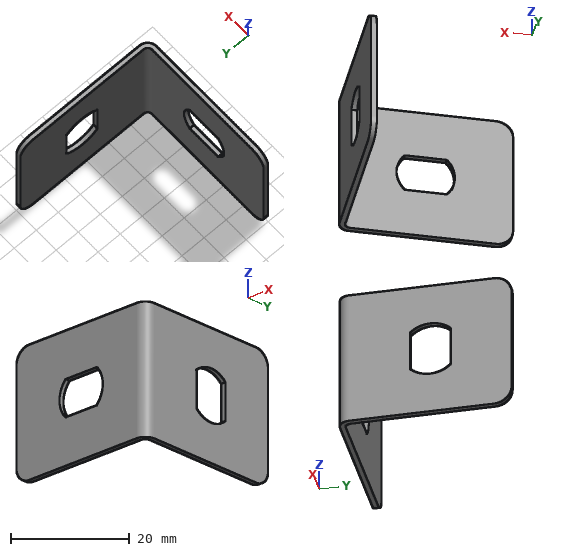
import cadquery as cq

leg_x = 30.0
leg_y = 30.0
height = 25.0

thickness = 1.0
inner_bend_radius = 1.0
outer_bend_radius = inner_bend_radius + thickness

corner_radius = 3.0

hole_diameter = 10.0
hole_across_flats = 7.0
front_hole_x = 15.0
side_hole_y = 16.0
hole_z = height / 2
cutter_reach = 2 * thickness


def bent_sheet():
    """L-shaped sheet with a rounded bend, its outer corner at X = leg_x, Y = 0."""
    profile = (
        cq.Workplane("XY")
        .polyline([
            (0, 0),
            (leg_x, 0),
            (leg_x, leg_y),
            (leg_x - thickness, leg_y),
            (leg_x - thickness, thickness),
            (0, thickness),
        ])
        .close()
        .extrude(height)
    )
    outer_edge = cq.NearestToPointSelector((leg_x, 0, height / 2))
    inner_edge = cq.NearestToPointSelector((leg_x - thickness, thickness, height / 2))
    sheet = profile.edges(outer_edge).fillet(outer_bend_radius)
    return sheet.edges(inner_edge).fillet(inner_bend_radius)


def round_free_ends(sheet):
    """Round the top and bottom corners at the free end of both legs."""
    sheet = sheet.faces("<X").edges("|Y").fillet(corner_radius)
    return sheet.faces(">Y").edges("|X").fillet(corner_radius)


def double_flat_cutter(plane, flat_size):
    """Round bar centred on the plane origin, trimmed by a flat_size (width, height) block."""
    bar = cq.Workplane(plane).circle(hole_diameter / 2).extrude(cutter_reach, both=True)
    block = cq.Workplane(plane).rect(*flat_size).extrude(cutter_reach, both=True)
    return bar.intersect(block)


front_plane = cq.Plane(origin=(front_hole_x, 0, hole_z), xDir=(1, 0, 0), normal=(0, -1, 0))
front_hole = double_flat_cutter(front_plane, (hole_diameter, hole_across_flats))

side_plane = cq.Plane(origin=(leg_x, side_hole_y, hole_z), xDir=(0, 1, 0), normal=(1, 0, 0))
side_hole = double_flat_cutter(side_plane, (hole_across_flats, hole_diameter))

result = round_free_ends(bent_sheet()).cut(front_hole).cut(side_hole)